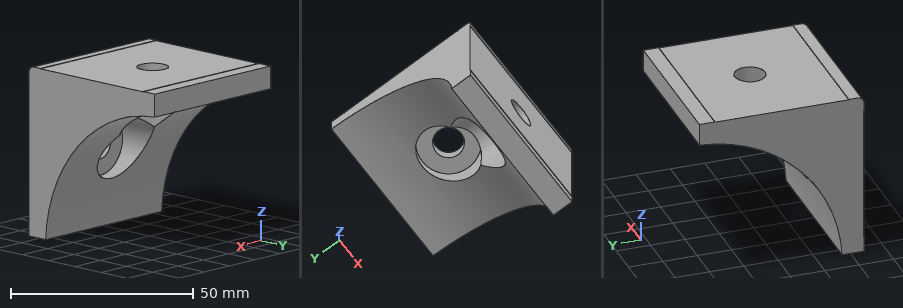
import cadquery as cq
import math

leg = 48.0
width = 46.0
end_thickness = 6.5
arc_center_offset = 50.0
corner_radius = 2.0
recess_margin = 4.5
recess_depth = 0.1
hole_diameter = 8.7
counterbore_diameter = 18.0
hole_length = 5.0
hole_offset = 25.1

arc_radius = math.hypot(arc_center_offset - end_thickness, arc_center_offset - leg)
arc_middle = arc_center_offset - arc_radius / math.sqrt(2)
recess_length = leg - 2 * recess_margin


def make_body():
    """Bracket with outer faces on Y=0 and Z=0, hollowed by a concave arc."""
    profile = (
        cq.Workplane("YZ")
        .lineTo(leg, 0)
        .lineTo(leg, -end_thickness)
        .threePointArc((arc_middle, -arc_middle), (end_thickness, -leg))
        .lineTo(0, -leg)
        .close()
    )
    body = profile.extrude(width / 2, both=True)
    return body.edges("|X and >Z and <Y").fillet(corner_radius)


def make_top_cut():
    """Shallow full-width recess in the top face and the hole through that leg."""
    recess = (
        cq.Workplane("XY")
        .center(0, leg / 2)
        .rect(width, recess_length)
        .extrude(-recess_depth)
    )
    hole = cq.Workplane("XY").center(0, hole_offset).circle(hole_diameter / 2).extrude(-leg)
    counterbore = (
        cq.Workplane("XY", origin=(0, hole_offset, -hole_length))
        .circle(counterbore_diameter / 2)
        .extrude(hole_length - leg)
    )
    return recess.union(hole).union(counterbore)


top_cut = make_top_cut()
front_cut = top_cut.rotate((0, 0, 0), (1, 0, 0), -90).mirror("XZ")

result = make_body().cut(top_cut).cut(front_cut)